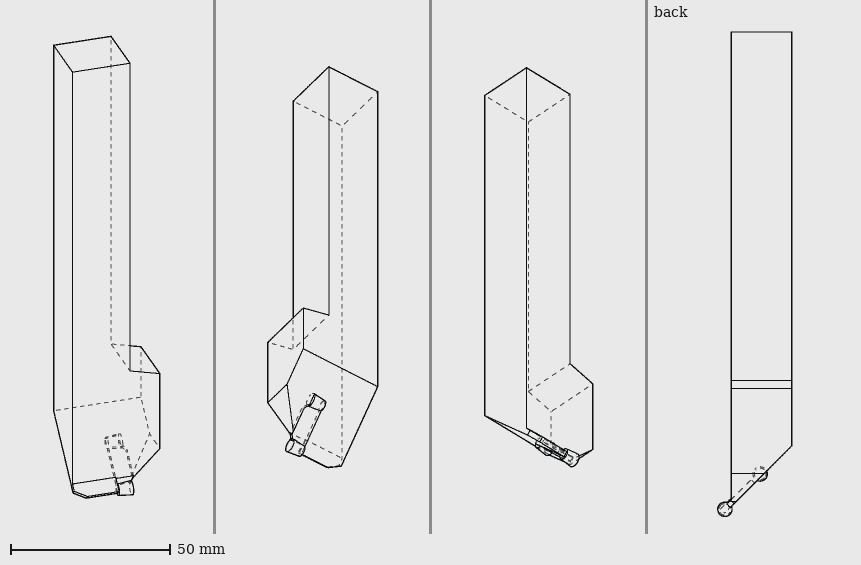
import cadquery as cq

total_height = 152.3
shank_size = 19.0

head_depth = 29.0
head_shoulder_z = 42.8
head_top_z = 40.2
bevel_top_z = 13.5

overall_width = 23.3
cutter_radius = 2.3
cutter_relief = 0.5
head_spacing = 15.7
neck_width = 1.5
seat_y = 14.3
rake_y = 18.9
ridge_y = 20.1
ridge_length = 9.1
ridge_foot_length = 12.5

blade_thickness = 1.8
blade_setback = 1.4
blade_chamfer_y = 3.8
blade_chamfer_length = 2.3

along_slant = cq.Vector(1, 0, -1).normalized()
inward = cq.Vector(1, 0, 1).normalized()

tip_center = cq.Vector(overall_width - cutter_radius, 0, cutter_radius)
insert_center = tip_center - along_slant * (head_spacing / 2)
face_origin = insert_center - inward * (neck_width / 2)
slant_start_z = face_origin.x + face_origin.z

slant_face = cq.Plane(origin=face_origin, xDir=along_slant, normal=inward)


def make_blade():
    """Support blade under the insert, chamfered at its outer -Y corner."""
    tip_u = head_spacing / 2 + cutter_radius - blade_setback
    return (
        cq.Workplane(slant_face)
        .moveTo(0, 0)
        .lineTo(tip_u - blade_chamfer_length, 0)
        .lineTo(tip_u, blade_chamfer_y)
        .lineTo(tip_u, seat_y)
        .lineTo(0, seat_y)
        .close()
        .extrude(blade_thickness)
    )


def make_insert():
    """Neck with a sloped ridge, plus a relieved round head at each end."""
    head_u = head_spacing / 2
    neck = (
        cq.Workplane(slant_face)
        .moveTo(-head_u, seat_y)
        .lineTo(head_u, seat_y)
        .lineTo(head_u, rake_y)
        .lineTo(ridge_foot_length / 2, rake_y)
        .lineTo(ridge_length / 2, ridge_y)
        .lineTo(-ridge_length / 2, ridge_y)
        .lineTo(-ridge_foot_length / 2, rake_y)
        .lineTo(-head_u, rake_y)
        .close()
        .extrude(neck_width)
    )
    body = neck
    for side in (-1, 1):
        center = insert_center + along_slant * (side * head_u)
        head = cq.Solid.makeCone(
            cutter_radius - cutter_relief,
            cutter_radius,
            rake_y - seat_y,
            pnt=cq.Vector(center.x, seat_y, center.z),
            dir=cq.Vector(0, 1, 0),
        )
        body = body.union(cq.Workplane(head))
    return body


def make_holder(insert):
    """Shank, head and blade, with a pocket matching the insert."""
    bevel_bottom_z = bevel_top_z - (head_depth - ridge_y)
    side_profile = [
        (0, 0),
        (seat_y, 0),
        (seat_y, bevel_bottom_z),
        (ridge_y, bevel_bottom_z),
        (head_depth, bevel_top_z),
        (head_depth, head_top_z),
        (shank_size, head_shoulder_z),
        (shank_size, total_height),
        (0, total_height),
    ]
    body = cq.Workplane("YZ").polyline(side_profile).close().extrude(shank_size)
    slanted_outline = [
        (0, slant_start_z),
        (shank_size, slant_start_z - shank_size),
        (shank_size, total_height),
        (0, total_height),
    ]
    slanted_stock = cq.Workplane("XZ").polyline(slanted_outline).close().extrude(-head_depth)
    return body.intersect(slanted_stock).union(make_blade()).cut(insert)


insert = make_insert()
holder = make_holder(insert)

result = cq.Compound.makeCompound([holder.val(), insert.val()])